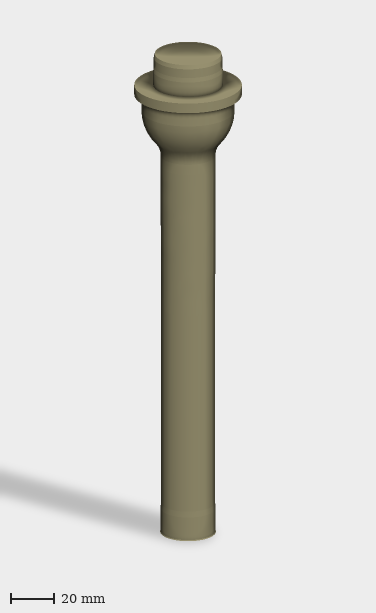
import cadquery as cq
import math

tube_diameter = 25.0
tube_top = 111.5
end_diameter = 25.3
end_taper_bottom = 12.5
end_taper_top = 15.3
lip_diameter = 25.7
lip_bottom = 1.0
lip_top = 1.5

grip_diameter = 25.3
collar_bottom = 181.0
collar_top = 186.0
head_diameter = 43.0
head_bottom = 208.2
shoulder_radius = 21.5

flange_diameter = 49.5
flange_bottom = 216.0
flange_top = 220.7
plug_diameter = 32.0
plug_tip_diameter = 31.6
plug_taper_bottom = 227.7
plug_taper_top = 229.9
plug_chamfer_width = 0.5
plug_chamfer_height = 2.0
total_height = 236.0

flare_width = (head_diameter - grip_diameter) / 2
flare_height = head_bottom - collar_top
flare_angle = 2 * math.atan2(flare_width, flare_height)
neck_radius = flare_height / math.sin(flare_angle) - shoulder_radius


def revolve_profile(profile):
    """Turn a closed half-profile around the Z axis."""
    return profile.close().revolve(360, (0, 0), (0, 1))


def arc_offset(radius, angle):
    """Sideways and upward travel along an arc that starts vertical and turns by angle."""
    return radius * (1 - math.cos(angle)), radius * math.sin(angle)


def make_lower_tube():
    """Round tube with a slightly thicker lower sleeve, a small lip and a shallow domed end."""
    tube_radius = tube_diameter / 2
    end_radius = end_diameter / 2
    lip_radius = lip_diameter / 2
    dome_radius = (lip_radius**2 + lip_bottom**2) / (2 * lip_bottom)
    dome_mid_x = lip_radius / 2
    dome_mid_z = dome_radius - math.sqrt(dome_radius**2 - dome_mid_x**2)
    profile = (
        cq.Workplane("XZ")
        .moveTo(0, 0)
        .threePointArc((dome_mid_x, dome_mid_z), (lip_radius, lip_bottom))
        .lineTo(end_radius, lip_top)
        .lineTo(end_radius, end_taper_bottom)
        .lineTo(tube_radius, end_taper_top)
        .lineTo(tube_radius, tube_top)
        .lineTo(0, tube_top)
    )
    return revolve_profile(profile)


def make_head():
    """Slightly tapered grip that flares into the flanged head and its top plug."""
    grip_radius = grip_diameter / 2
    head_radius = head_diameter / 2
    flange_radius = flange_diameter / 2
    plug_radius = plug_diameter / 2
    plug_tip_radius = plug_tip_diameter / 2

    neck_mid_x, neck_mid_z = arc_offset(neck_radius, flare_angle / 2)
    neck_end_x, neck_end_z = arc_offset(neck_radius, flare_angle)
    shoulder_mid_x, shoulder_mid_z = arc_offset(shoulder_radius, flare_angle / 2)
    profile = (
        cq.Workplane("XZ")
        .moveTo(0, tube_top)
        .lineTo(tube_diameter / 2, tube_top)
        .lineTo(grip_radius, collar_bottom)
        .lineTo(grip_radius, collar_top)
        .threePointArc(
            (grip_radius + neck_mid_x, collar_top + neck_mid_z),
            (grip_radius + neck_end_x, collar_top + neck_end_z),
        )
        .threePointArc(
            (head_radius - shoulder_mid_x, head_bottom - shoulder_mid_z),
            (head_radius, head_bottom),
        )
        .lineTo(head_radius, flange_bottom)
        .lineTo(flange_radius, flange_bottom)
        .lineTo(flange_radius, flange_top)
        .lineTo(plug_radius, flange_top)
        .lineTo(plug_radius, plug_taper_bottom)
        .lineTo(plug_tip_radius, plug_taper_top)
        .lineTo(plug_tip_radius, total_height - plug_chamfer_height)
        .lineTo(plug_tip_radius - plug_chamfer_width, total_height)
        .lineTo(0, total_height)
    )
    return revolve_profile(profile)


lower_tube = make_lower_tube()
head = make_head()
result = cq.Compound.makeCompound([lower_tube.val(), head.val()])